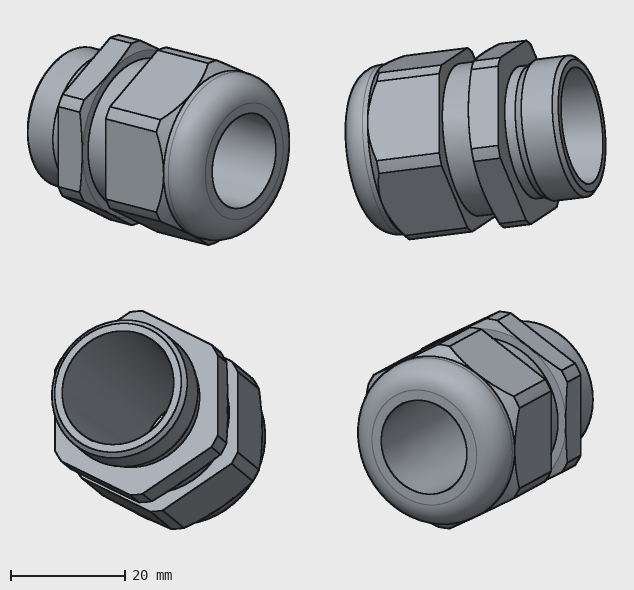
import cadquery as cq
import math


thread_end = 6.6
undercut_start = 8.05
body_hex_start = 10.0
body_hex_length = 5.55
nut_start = 21.0
nut_length = 13.4
cap_round_start = 35.4
total_length = 40.0

thread_diameter = 25.0
undercut_diameter = 23.38
neck_diameter = 26.9
cap_diameter = 30.0
bore_entry_diameter = 20.6
bore_exit_diameter = 17.0

across_flats = 30.0
corner_diameter = 33.4
body_chamfer_length = 0.55
nut_chamfer_length = 1.7


def shaft_body():
    """Revolve the round sections: thread, undercut, neck and domed cap."""
    thread_radius = thread_diameter / 2
    undercut_radius = undercut_diameter / 2
    neck_radius = neck_diameter / 2
    cap_radius = cap_diameter / 2
    entry_chamfer = thread_radius - undercut_radius
    cap_round = total_length - cap_round_start
    arc_middle = cap_round * math.sqrt(0.5)
    profile = (
        cq.Workplane("XY")
        .moveTo(0, 0)
        .lineTo(0, undercut_radius)
        .lineTo(entry_chamfer, thread_radius)
        .lineTo(thread_end, thread_radius)
        .lineTo(undercut_start, undercut_radius)
        .lineTo(body_hex_start, undercut_radius)
        .lineTo(body_hex_start, neck_radius)
        .lineTo(nut_start, neck_radius)
        .lineTo(nut_start, cap_radius)
        .lineTo(cap_round_start, cap_radius)
        .threePointArc(
            (cap_round_start + arc_middle, cap_radius - cap_round + arc_middle),
            (total_length, cap_radius - cap_round),
        )
        .lineTo(total_length, 0)
        .close()
    )
    return profile.revolve(360, (0, 0, 0), (1, 0, 0))


def hexagon(start, length, chamfer_length):
    """Hexagon with rounded corners, its +X end coned down to the across-flats circle."""
    across_corners = across_flats / math.cos(math.pi / 6)
    prism = (
        cq.Workplane("YZ", origin=(start, 0, 0))
        .transformed(rotate=(0, 0, 90))
        .polygon(6, across_corners)
        .extrude(length)
    )
    end = start + length
    envelope = (
        cq.Workplane("XY")
        .moveTo(start, 0)
        .lineTo(start, corner_diameter / 2)
        .lineTo(end - chamfer_length, corner_diameter / 2)
        .lineTo(end, across_flats / 2)
        .lineTo(end, 0)
        .close()
        .revolve(360, (0, 0, 0), (1, 0, 0))
    )
    return prism.intersect(envelope)


def tapered_bore():
    """Through bore that narrows evenly from the threaded end to the cap."""
    return (
        cq.Workplane("XY")
        .moveTo(0, 0)
        .lineTo(0, bore_entry_diameter / 2)
        .lineTo(total_length, bore_exit_diameter / 2)
        .lineTo(total_length, 0)
        .close()
        .revolve(360, (0, 0, 0), (1, 0, 0))
    )


body_hex = hexagon(body_hex_start, body_hex_length, body_chamfer_length)
nut_hex = hexagon(nut_start, nut_length, nut_chamfer_length)
result = shaft_body().union(body_hex).union(nut_hex).cut(tapered_bore())